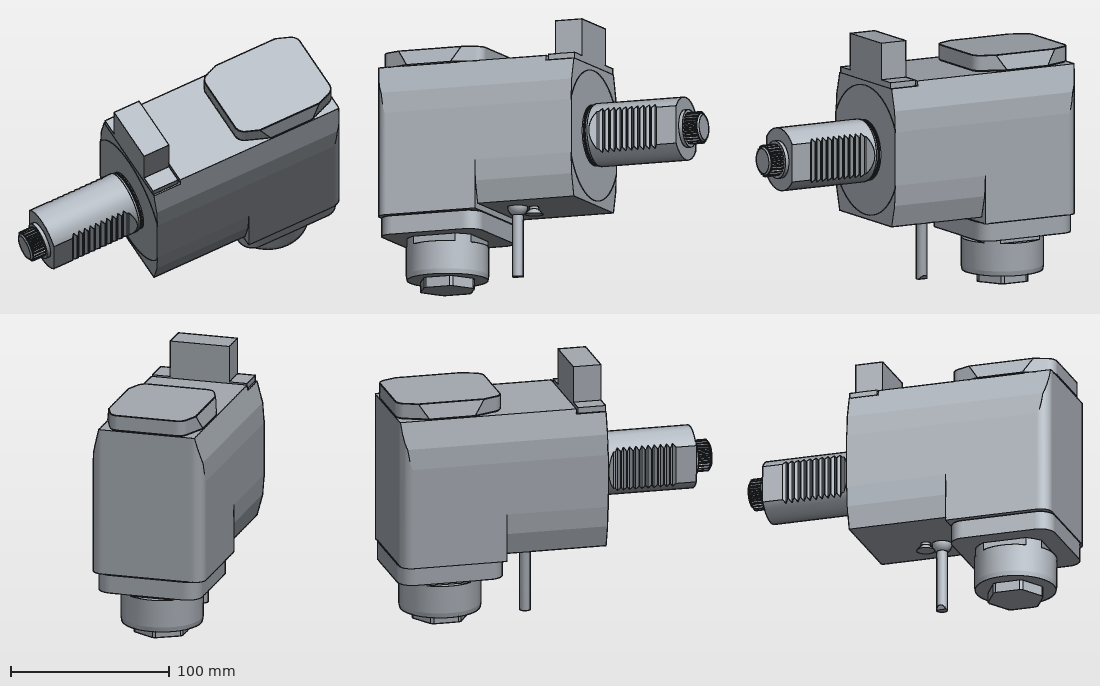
import cadquery as cq
import math


half_width = 37.0
shoulder_z = 17.1
knee_half_width = 72.1 / 2
knee_z = 30.3
side_lean = math.tan(math.radians(15))
housing_top = 47.5
block_bottom = -44.0
housing_back = 133.8
back_corner_radius = 7.5

leg_depth = 68.1
leg_bottom = -47.9
leg_front = housing_back - leg_depth
leg_center_y = housing_back - leg_depth / 2

disc_radius = 41.4
disc_height = 0.2
shank_radius = 40.0 / 2
neck_radius = 38.7 / 2
neck_groove_radius = 37.8 / 2
neck_groove_start = 1.0
neck_groove_end = 1.7
neck_length = 2.3
shank_chamfer_end = 3.8
shank_length = 63.0

flat_offset = 32.0 / 2
flat_start = 9.0
groove_count = 10
groove_span = 36.0
groove_pitch = groove_span / (groove_count - 1)
groove_depth = 1.78
groove_half_width = 1.7
first_groove = 12.0

collar_radius = 12.0
collar_length = 2.5
tooth_count = 24
tooth_tip_radius = 10.0
tooth_root_radius = 9.0
spline_length = 8.4
spline_end_length = 1.5
spline_end_radius = 8.0

slot_depth = 3.1
slot_length = 19.2
slot_clearance = 1.3
slot_floor = housing_top - slot_depth
key_base_half_width = 31.1
key_base_height = 3.8
key_half_width = 19.5
key_top = 71.5
key_length = slot_length - slot_clearance

cover_height = 10.5
cover_end_half_width = 23.6
cover_side_taper = 0.4
cover_corner_radius = 6.7
cover_top_chamfer = 0.31
cover_bottom_chamfer = 0.8

flange_half_width = 33.9
flange_height = 12.1
flange_corner_radius = 9.8
flange_chamfer = 0.5
flange_bottom = leg_bottom - flange_height

nut_radius = 52.0 / 2
nut_end_radius = 25.5
nut_flat_offset = 43.7 / 2
nut_flat_height = 4.8
nut_height = 25.7
nut_taper_height = 3.0
nut_bottom = flange_bottom - nut_height
hex_across_flats = 32.0
hex_corner_radius = 35.7 / 2
hex_bottom = -92.2
hex_height = nut_bottom - hex_bottom

nozzle_x = -10.9
nozzle_y = 47.2
ball_radius = 12.7 / 2
pipe_radius = 7.0 / 2
pipe_end = -88.8
pipe_bevel_width = 1.9
pipe_bevel_height = 2.5
screw_x = -6.7
screw_y = 37.8
screw_radius = 6.0 / 2
screw_head_radius = 11.5 / 2
screw_stem_length = 1.7
screw_head_height = 3.1


def box(x_range, y_range, z_range):
    """Axis-aligned box between the given limits."""
    sizes = [high - low for low, high in (x_range, y_range, z_range)]
    corner = (x_range[0], y_range[0], z_range[0])
    return cq.Workplane("XY").box(*sizes, centered=False).translate(corner)


def y_cylinder(radius, y_from, y_to):
    """Cylinder on the shank axis."""
    return cq.Workplane("XZ", origin=(0, y_from, 0)).circle(radius).extrude(y_from - y_to)


def half_width_at(z):
    """Half width of the leaning upper and lower parts of the housing."""
    return knee_half_width - side_lean * (abs(z) - knee_z)


def prism_along_y(right_side, y_from, y_to):
    """Extrude an (x, z) outline, given by its right side, mirrored in X."""
    left_side = [(-x, z) for x, z in reversed(right_side)]
    outline = cq.Workplane("XZ", origin=(0, y_from, 0)).polyline(right_side + left_side).close()
    return outline.extrude(y_from - y_to)


def make_block():
    upper_side = [
        (half_width, shoulder_z),
        (knee_half_width, knee_z),
        (half_width_at(housing_top), housing_top),
    ]
    lower_side = [
        (half_width_at(block_bottom), block_bottom),
        (knee_half_width, -knee_z),
        (half_width, -shoulder_z),
    ]
    front_part = prism_along_y(lower_side + upper_side, 0, leg_front)
    rear_part = prism_along_y([(half_width, leg_bottom)] + upper_side, leg_front, housing_back)
    rounded_plan = (
        box((-half_width, half_width), (0, housing_back), (leg_bottom, housing_top))
        .edges("|Z and >Y")
        .fillet(back_corner_radius)
    )
    return front_part.union(rear_part).intersect(rounded_plan)


def make_mounting_disc():
    sides = box((-half_width, half_width), (-disc_height, 0), (-disc_radius, disc_radius))
    return y_cylinder(disc_radius, 0, -disc_height).intersect(sides)


def make_flat_cutter():
    """Material removed on the +X side of the shank: a ramped flat with a row of V grooves."""
    ramp_length = shank_radius - flat_offset
    outline = [
        (shank_radius, -(flat_start - ramp_length)),
        (flat_offset, -flat_start),
    ]
    for index in range(groove_count):
        root_y = -(first_groove + index * groove_pitch)
        outline += [
            (flat_offset, root_y + groove_half_width),
            (flat_offset - groove_depth, root_y),
            (flat_offset, root_y - groove_half_width),
        ]
    outline += [(flat_offset, -shank_length), (shank_radius, -shank_length)]
    return cq.Workplane("XY").polyline(outline).close().extrude(shank_radius, both=True)


def make_shank():
    profile = [
        (0, 0),
        (neck_radius, 0),
        (neck_radius, -neck_groove_start),
        (neck_groove_radius, -neck_groove_start),
        (neck_groove_radius, -neck_groove_end),
        (neck_radius, -neck_groove_end),
        (neck_radius, -neck_length),
        (shank_radius, -shank_chamfer_end),
        (shank_radius, -shank_length),
        (0, -shank_length),
    ]
    shank = cq.Workplane("XY").polyline(profile).close().revolve(360, (0, 0), (0, 1))
    cutter = make_flat_cutter()
    return shank.cut(cutter).cut(cutter.mirror("YZ"))


def make_spline():
    collar_end = -(shank_length + collar_length)
    teeth_end = collar_end - spline_length
    collar = y_cylinder(collar_radius, -shank_length, collar_end)

    pitch_angle = 2 * math.pi / tooth_count
    tooth_corners = [
        (tooth_root_radius, 0.15),
        (tooth_tip_radius, 0.35),
        (tooth_tip_radius, 0.65),
        (tooth_root_radius, 0.85),
    ]
    outline = []
    for tooth in range(tooth_count):
        for radius, fraction in tooth_corners:
            angle = (tooth + fraction) * pitch_angle
            outline.append((radius * math.cos(angle), radius * math.sin(angle)))
    teeth = cq.Workplane("XZ", origin=(0, collar_end, 0)).polyline(outline).close().extrude(spline_length)

    end_chamfer = tooth_root_radius - spline_end_radius
    end = y_cylinder(tooth_root_radius, teeth_end, teeth_end - spline_end_length)
    return collar.union(teeth).union(end.faces("<Y").chamfer(end_chamfer))


def make_key_slot():
    return box((-half_width, half_width), (0, slot_length), (slot_floor, housing_top))


def make_clamp_screw():
    """Screw with a conical head beside the nozzle ball, in one piece with the housing."""
    profile = [
        (0, 0),
        (screw_radius, 0),
        (screw_radius, -screw_stem_length),
        (screw_head_radius, -screw_stem_length - screw_head_height),
        (0, -screw_stem_length - screw_head_height),
    ]
    screw = cq.Workplane("XZ").polyline(profile).close().revolve(360, (0, 0), (0, 1))
    return screw.translate((screw_x, screw_y, block_bottom))


def nozzle_ball():
    return cq.Workplane("XY").sphere(ball_radius).translate((nozzle_x, nozzle_y, block_bottom))


def make_housing():
    body = make_block().cut(make_key_slot())
    for feature in (make_mounting_disc(), make_shank(), make_spline(), make_clamp_screw()):
        body = body.union(feature)
    return body.cut(nozzle_ball())


def make_key():
    base_top = slot_floor + key_base_height
    base = box((-key_base_half_width, key_base_half_width), (0, key_length), (slot_floor, base_top))
    tongue = box((-key_half_width, key_half_width), (0, key_length), (slot_floor, key_top))
    return base.union(tongue)


def make_cover():
    middle_half_width = cover_end_half_width + cover_side_taper * leg_depth / 2
    outline = [
        (cover_end_half_width, leg_front),
        (middle_half_width, leg_center_y),
        (cover_end_half_width, housing_back),
        (-cover_end_half_width, housing_back),
        (-middle_half_width, leg_center_y),
        (-cover_end_half_width, leg_front),
    ]
    cover_top = housing_top + cover_height
    plate = cq.Workplane("XY", origin=(0, 0, housing_top)).polyline(outline).close().extrude(cover_height)
    plate = plate.edges("|Z and (<Y or >Y)").fillet(cover_corner_radius)
    leaning_sides = [(half_width_at(housing_top), housing_top), (half_width_at(cover_top), cover_top)]
    plate = plate.intersect(prism_along_y(leaning_sides, leg_front, housing_back))
    return plate.faces(">Z").chamfer(cover_top_chamfer).faces("<Z").chamfer(cover_bottom_chamfer)


def make_flange():
    plate = box(
        (-flange_half_width, flange_half_width), (leg_front, housing_back), (flange_bottom, leg_bottom)
    )
    return plate.edges("|Z").fillet(flange_corner_radius).faces(">Z").chamfer(flange_chamfer)


def make_nut():
    profile = [
        (0, nut_bottom),
        (nut_end_radius, nut_bottom),
        (nut_radius, nut_bottom + nut_taper_height),
        (nut_radius, flange_bottom),
        (0, flange_bottom),
    ]
    nut = cq.Workplane("XZ").polyline(profile).close().revolve(360, (0, 0), (0, 1))
    flats_bottom = flange_bottom - nut_flat_height
    ring = cq.Workplane("XY", origin=(0, 0, flats_bottom)).circle(nut_radius).extrude(nut_flat_height)
    square = (-nut_flat_offset, nut_flat_offset)
    nut = nut.cut(ring.cut(box(square, square, (flats_bottom, flange_bottom))))

    corner_diameter = hex_across_flats / math.cos(math.pi / 6)
    nose = cq.Workplane("XY", origin=(0, 0, hex_bottom)).polygon(6, corner_diameter).extrude(hex_height)
    nose = nose.rotate((0, 0, 0), (0, 0, 1), 30)
    corner_round = cq.Workplane("XY", origin=(0, 0, hex_bottom)).circle(hex_corner_radius).extrude(hex_height)
    return nut.union(nose.intersect(corner_round)).translate((0, leg_center_y, 0))


def make_nozzle():
    pipe_length = block_bottom - pipe_end
    pipe = cq.Workplane("XY", origin=(nozzle_x, nozzle_y, pipe_end)).circle(pipe_radius).extrude(pipe_length)
    pipe_side = nozzle_x + pipe_radius
    bevel_outline = [
        (pipe_side - pipe_bevel_width, pipe_end),
        (pipe_side, pipe_end),
        (pipe_side, pipe_end + pipe_bevel_height),
    ]
    bevel = (
        cq.Workplane("XZ", origin=(0, nozzle_y, 0))
        .polyline(bevel_outline)
        .close()
        .extrude(pipe_radius, both=True)
    )
    return nozzle_ball().union(pipe.cut(bevel))


housing = make_housing()
key = make_key()
cover = make_cover()
flange = make_flange()
nut = make_nut()
nozzle = make_nozzle()

result = cq.Compound.makeCompound(
    [housing.val(), key.val(), cover.val(), flange.val(), nut.val(), nozzle.val()]
)